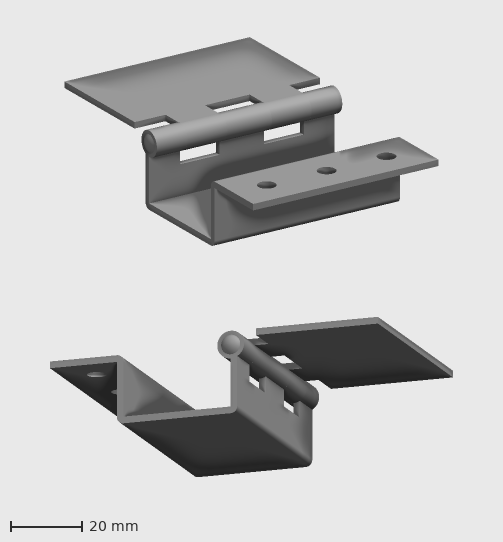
import cadquery as cq
import math


overall_length = 98.0
overall_height = 24.0
width = 61.9
thickness = 2.0
barrel_radius = 4.0
pin_radius = 2.8
pin_length = 64.0
dome_height = (pin_length - width) / 2

inner_joint = 7.4
outer_joint = 20.7

flat_reach = 44.0
flat_notch_depth = 7.5

channel_floor = barrel_radius - overall_height
channel_right = 34.0
flange_end = overall_length - flat_reach
flange_top = 0.0
bend_radius = 2.0
cranked_notch_depth = 8.4
hole_diameter = 5.6
hole_x = 44.0
hole_pitch = 20.0
hole_count = 3

flat_knuckles = [(-outer_joint, -inner_joint), (inner_joint, outer_joint)]
cranked_knuckles = [
    (-width / 2, -outer_joint),
    (-inner_joint, inner_joint),
    (outer_joint, width / 2),
]


def box(x_range, y_range, z_range):
    """Box spanning the given (low, high) ranges."""
    sizes = [high - low for low, high in (x_range, y_range, z_range)]
    corner = (x_range[0], y_range[0], z_range[0])
    return cq.Workplane("XY").box(*sizes, centered=False).translate(corner)


def rod(radius, y_range):
    """Cylinder on the pin axis between two Y positions."""
    start, end = y_range
    return cq.Workplane("XZ", origin=(0, start, 0)).circle(radius).extrude(start - end)


def add_barrel(leaf, own_knuckles, other_knuckles):
    """Add a leaf's own knuckles, clear the other leaf's, and bore for the pin."""
    for y_range in other_knuckles:
        leaf = leaf.cut(rod(barrel_radius, y_range))
    for y_range in own_knuckles:
        leaf = leaf.union(rod(barrel_radius, y_range))
    return leaf.cut(rod(pin_radius, (-width / 2, width / 2)))


def make_flat_leaf():
    """Flat plate tangent to the top of the barrel, notched around the other knuckles."""
    plate_z = (barrel_radius - thickness, barrel_radius)
    leaf = box((-flat_reach, 0), (-width / 2, width / 2), plate_z)
    for y_range in cranked_knuckles:
        leaf = leaf.cut(box((-flat_notch_depth, 0), y_range, plate_z))
    return add_barrel(leaf, flat_knuckles, cranked_knuckles)


def make_cranked_leaf():
    """Channel hanging below the barrel, with a drilled flange on its far wall."""
    wall_left = channel_right - thickness
    floor_top = channel_floor + thickness
    profile = [
        (-thickness, 0),
        (-thickness, channel_floor),
        (channel_right, channel_floor),
        (channel_right, flange_top - thickness),
        (flange_end, flange_top - thickness),
        (flange_end, flange_top),
        (wall_left, flange_top),
        (wall_left, floor_top),
        (0, floor_top),
        (0, 0),
    ]
    leaf = cq.Workplane("XZ").polyline(profile).close().extrude(width / 2, both=True)

    for x, z in [
        (-thickness, channel_floor),
        (channel_right, channel_floor),
        (wall_left, flange_top),
    ]:
        leaf = leaf.edges(cq.selectors.NearestToPointSelector((x, 0, z))).fillet(bend_radius)

    for y_range in flat_knuckles:
        leaf = leaf.cut(box((-thickness, 0), y_range, (-cranked_notch_depth, 0)))

    holes = (
        cq.Workplane("XY", origin=(hole_x, 0, flange_top))
        .rarray(1, hole_pitch, 1, hole_count)
        .circle(hole_diameter / 2)
        .extrude(-thickness)
    )
    return add_barrel(leaf.cut(holes), cranked_knuckles, flat_knuckles)


def make_pin():
    """Pin as long as the barrel, with a shallow spherical dome on each end."""
    end = width / 2
    dome_radius = (pin_radius**2 + dome_height**2) / (2 * dome_height)
    dome_center = end + dome_height - dome_radius
    half_angle = math.asin(pin_radius / dome_radius) / 2
    mid_x = dome_radius * math.sin(half_angle)
    mid_y = dome_center + dome_radius * math.cos(half_angle)
    return (
        cq.Workplane("XY")
        .moveTo(0, -end - dome_height)
        .threePointArc((mid_x, -mid_y), (pin_radius, -end))
        .lineTo(pin_radius, end)
        .threePointArc((mid_x, mid_y), (0, end + dome_height))
        .close()
        .revolve(360, (0, 0, 0), (0, 1, 0))
    )


flat_leaf = make_flat_leaf()
cranked_leaf = make_cranked_leaf()
pin = make_pin()

result = cq.Compound.makeCompound([flat_leaf.val(), cranked_leaf.val(), pin.val()])